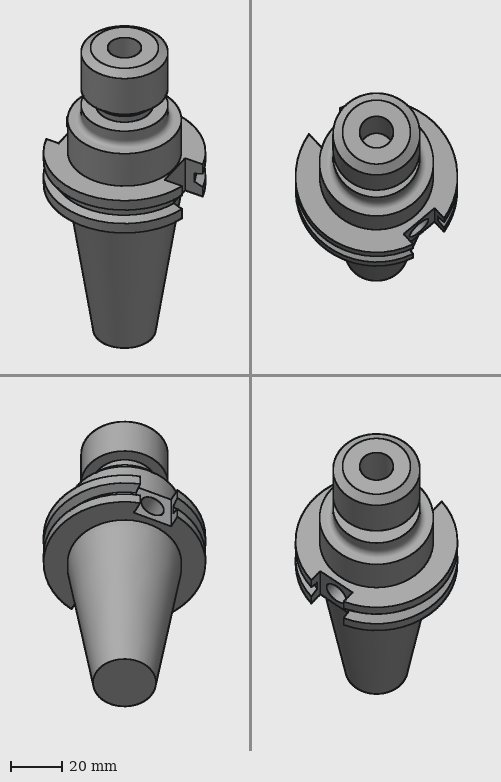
import cadquery as cq
import math

total_height = 138.4

taper_length = 68.2
taper_top_radius = 22.3
taper_ratio = 7 / 24
taper_tip_radius = taper_top_radius - taper_length * taper_ratio / 2

flange_gap = 3.2
flange_radius = 31.7
flange_thickness = 15.9
flange_bottom = taper_length + flange_gap
flange_top = flange_bottom + flange_thickness
flange_middle = (flange_bottom + flange_top) / 2
groove_root_radius = 28.1
groove_root_width = 3.9
groove_mouth_width = 6.6

body_radius = taper_top_radius
body_top = 103.2
shoulder_radius = 17.0
shoulder_fillet = 2.5
shoulder_top = 110.3
neck_radius = 11.2
collar_radius = 12.5
collar_bottom = 113.6
collar_chamfer = 1.2

nut_radius = shoulder_radius
nut_bottom = 118.5
nut_top_radius = 13.3
nut_chamfer_height = 2.2
bore_radius = 6.57
bore_depth = total_height - nut_bottom

slot_width = 16.2
shallow_slot_floor = 25.0
deep_slot_floor = 22.7
slot_hole_radius = 4.91
slot_hole_depth = 9.7


def turned_holder():
    """Revolve the half section of the whole holder about Z."""
    fillet_offset = shoulder_fillet * (1 - math.sqrt(0.5))
    return (
        cq.Workplane("XZ")
        .lineTo(taper_tip_radius, 0)
        .lineTo(taper_top_radius, taper_length)
        .lineTo(taper_top_radius, flange_bottom)
        .lineTo(flange_radius, flange_bottom)
        .lineTo(flange_radius, flange_middle - groove_mouth_width / 2)
        .lineTo(groove_root_radius, flange_middle - groove_root_width / 2)
        .lineTo(groove_root_radius, flange_middle + groove_root_width / 2)
        .lineTo(flange_radius, flange_middle + groove_mouth_width / 2)
        .lineTo(flange_radius, flange_top)
        .lineTo(body_radius, flange_top)
        .lineTo(body_radius, body_top)
        .lineTo(shoulder_radius + shoulder_fillet, body_top)
        .threePointArc(
            (shoulder_radius + fillet_offset, body_top + fillet_offset),
            (shoulder_radius, body_top + shoulder_fillet),
        )
        .lineTo(shoulder_radius, shoulder_top)
        .lineTo(neck_radius, shoulder_top)
        .lineTo(neck_radius, collar_bottom)
        .lineTo(collar_radius - collar_chamfer / 2, collar_bottom)
        .lineTo(collar_radius, collar_bottom + collar_chamfer)
        .lineTo(collar_radius, nut_bottom)
        .lineTo(nut_radius, nut_bottom)
        .lineTo(nut_radius, total_height - nut_chamfer_height)
        .lineTo(nut_top_radius, total_height)
        .lineTo(0, total_height)
        .close()
        .revolve(360, (0, 0), (0, 1))
    )


def nut_bore():
    """Blind bore down from the top of the nut."""
    return (
        cq.Workplane("XY", origin=(0, 0, total_height - bore_depth))
        .circle(bore_radius)
        .extrude(bore_depth)
    )


def drive_slot(side, floor_distance):
    """Rectangular slot through the flange; side is +1 or -1 along X."""
    slot_depth = flange_radius - floor_distance
    slot = cq.Workplane("XY").box(slot_depth, slot_width, flange_thickness)
    return slot.translate((side * (floor_distance + slot_depth / 2), 0, flange_middle))


def slot_hole():
    """Blind radial hole in the floor of the -X slot."""
    return (
        cq.Workplane("YZ", origin=(-shallow_slot_floor, 0, flange_middle))
        .circle(slot_hole_radius)
        .extrude(slot_hole_depth)
    )


result = (
    turned_holder()
    .cut(nut_bore())
    .cut(drive_slot(-1, shallow_slot_floor))
    .cut(drive_slot(1, deep_slot_floor))
    .cut(slot_hole())
)